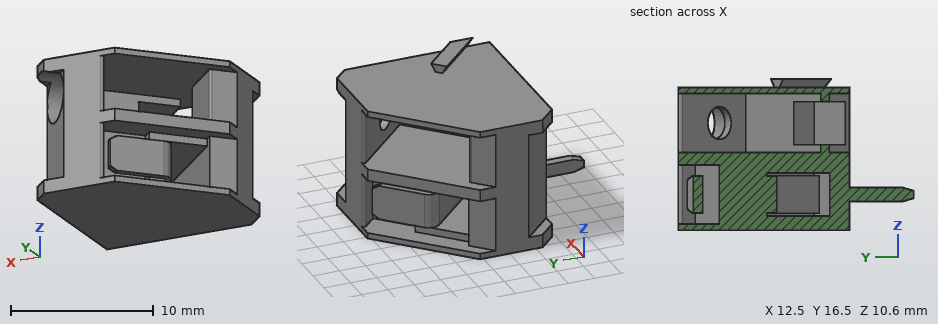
import cadquery as cq
import math

WIDTH = 12.5
DEPTH = 12.0
HEIGHT = 10.0
ENTRY_CUT = 6.0
FRONT_CHAMFER = 1.25
BACK_CHAMFER = 0.99

FRONT_RECESS_LEG = 2.3
BACK_RECESS_LEG = 2.52
RECESS_MARGIN = 0.99

PITCH = 5.0
CHAMBER_HEIGHT = 4.11
CHAMBER_START = 1.19
CHAMBER_END = 9.0
CHAMBER_DEPTH = 7.21
MOUTH_DEPTH = 0.84
MOUTH_OVERRUN = 2.48
EDGE_RADIUS = 0.16
LOWER_Z = HEIGHT / 2 - PITCH / 2
UPPER_Z = HEIGHT / 2 + PITCH / 2

CONTACT_STEP = 5.46
CONTACT_FRONT_DEPTH = 1.4
CONTACT_REAR_DEPTH = 2.21
SLOT_HEIGHT = 3.0
SLOT_END = 4.27
SLOT_DEPTH = 9.24

STRIP_HEIGHT = 2.6
STRIP_THICKNESS = 0.5
STRIP_TIP = 8.5
STRIP_BEND_RADIUS = 0.8
TIP_CHAMFER_LENGTH = 0.5
TIP_CHAMFER_HEIGHT = 0.3

WINDOW_LEFT = 4.14

SCREW_HOLE_DIAMETER = 2.3
SCREW_HEAD_DIAMETER = 3.6
SCREW_DEPTH = 4.6
SCREW_SEAT = 0.61

RAIL_HEIGHT = 0.6
RAIL_TOP_WIDTH = 1.2
RAIL_FLARE = RAIL_HEIGHT * math.tan(math.radians(30))
RAIL_POSITION = 6.1
RAIL_START_DEPTH = 7.4

TOTAL_LENGTH = 16.5
PIN_LENGTH = TOTAL_LENGTH - DEPTH
PIN_X = 6.52
PIN_WIDTH = 0.7
PIN_HEIGHT = 0.99
PIN_TAPER_LENGTH = 0.8
PIN_TAPER_RISE = 0.23


def entry_plane(z):
    """Horizontal plane with local x along the entry face and local y out of it."""
    return cq.Plane(origin=(0, DEPTH - ENTRY_CUT, z), xDir=(1, 1, 0), normal=(0, 0, 1))


def entry_prism(points, z_center, height):
    """Prism over (position, depth) points measured from the entry face."""
    outline = [(position, -depth) for position, depth in points]
    return cq.Workplane(entry_plane(z_center)).polyline(outline).close().extrude(height / 2, both=True)


def entry_box(start, end, near, far, z_center, height):
    corners = [(start, near), (end, near), (end, far), (start, far)]
    return entry_prism(corners, z_center, height)


def corner_recess(x, y, leg):
    """Three-cornered cut at an upright corner; a negative leg points toward -X and -Y."""
    return (
        cq.Workplane("XY", origin=(x, y, RECESS_MARGIN))
        .polyline([(0, 0), (leg, 0), (0, leg)])
        .close()
        .extrude(HEIGHT - 2 * RECESS_MARGIN)
    )


def housing():
    outline = [
        (FRONT_CHAMFER, 0),
        (WIDTH, 0),
        (WIDTH, DEPTH - BACK_CHAMFER),
        (WIDTH - BACK_CHAMFER, DEPTH),
        (ENTRY_CUT, DEPTH),
        (0, DEPTH - ENTRY_CUT),
        (0, FRONT_CHAMFER),
    ]
    block = cq.Workplane("XY").polyline(outline).close().extrude(HEIGHT)
    front_recess = corner_recess(0, 0, FRONT_RECESS_LEG)
    back_recess = corner_recess(WIDTH, DEPTH, -BACK_RECESS_LEG)
    return block.cut(front_recess).cut(back_recess)


def chamber(z_center, floor):
    """Cavity with a wide mouth; floor lists (position, depth) points from start to end."""
    outline = [
        (-MOUTH_OVERRUN, -MOUTH_OVERRUN),
        (-MOUTH_OVERRUN, MOUTH_DEPTH),
        (CHAMBER_START, MOUTH_DEPTH),
        *floor,
        (CHAMBER_END, -MOUTH_OVERRUN),
    ]
    return entry_prism(outline, z_center, CHAMBER_HEIGHT)


def slot(z_center):
    return entry_box(CHAMBER_START, SLOT_END, MOUTH_DEPTH, SLOT_DEPTH, z_center, SLOT_HEIGHT)


def upper_cavity():
    floor = [(CHAMBER_START, CHAMBER_DEPTH), (CHAMBER_END, CHAMBER_DEPTH)]
    return chamber(UPPER_Z, floor).union(slot(UPPER_Z))


def lower_cavity():
    floor = [
        (CHAMBER_START, CONTACT_FRONT_DEPTH),
        (CONTACT_STEP, CONTACT_FRONT_DEPTH),
        (CONTACT_STEP, CONTACT_REAR_DEPTH),
        (CHAMBER_END, CONTACT_REAR_DEPTH),
    ]
    return chamber(LOWER_Z, floor).union(slot(LOWER_Z))


def round_upright_edge(body, point):
    edge = cq.selectors.NearestToPointSelector(point)
    return body.edges("|Z").edges(edge).fillet(EDGE_RADIUS)


def round_chamber_edges(body):
    """Round the back end of both chambers and the inner edge of the upper mouth."""
    back_edge_x = CHAMBER_END * math.sqrt(2) - ENTRY_CUT
    for z in (LOWER_Z, UPPER_Z):
        body = round_upright_edge(body, (back_edge_x, DEPTH, z))
    mouth_edge = entry_plane(UPPER_Z).toWorldCoords((CHAMBER_START, -MOUTH_DEPTH, 0))
    return round_upright_edge(body, mouth_edge.toTuple())


def front_window():
    """Three-cornered opening joining the front face to the upper chamber."""
    right = DEPTH - ENTRY_CUT + CHAMBER_START * math.sqrt(2)
    return (
        cq.Workplane("XY", origin=(0, 0, UPPER_Z))
        .polyline([(WINDOW_LEFT, 0), (right, 0), (WINDOW_LEFT, right - WINDOW_LEFT)])
        .close()
        .extrude(CHAMBER_HEIGHT / 2, both=True)
    )


def screw_passage():
    """Stepped bore from the upper chamber's end wall out into the back right recess."""
    start = entry_plane(UPPER_Z).toWorldCoords((CHAMBER_END, -SCREW_DEPTH, 0))
    wall = cq.Workplane(cq.Plane(origin=start, xDir=(0, 0, 1), normal=(1, 1, 0)))
    hole = wall.circle(SCREW_HOLE_DIAMETER / 2).extrude(SCREW_SEAT)
    head = wall.workplane(offset=SCREW_SEAT).circle(SCREW_HEAD_DIAMETER / 2).extrude(WIDTH / 2)
    return hole.union(head)


def clamp_strip():
    outer_depth = CONTACT_FRONT_DEPTH - STRIP_THICKNESS
    leg_position = SLOT_END - STRIP_THICKNESS
    tongue = entry_box(leg_position, STRIP_TIP, outer_depth, CONTACT_FRONT_DEPTH, LOWER_Z, STRIP_HEIGHT)
    leg = entry_box(leg_position, SLOT_END, outer_depth, SLOT_DEPTH, LOWER_Z, STRIP_HEIGHT)
    bend = cq.selectors.NearestToPointSelector(
        entry_plane(LOWER_Z).toWorldCoords((leg_position, -outer_depth, 0)).toTuple()
    )
    strip = tongue.union(leg).edges("|Z").edges(bend).fillet(STRIP_BEND_RADIUS)

    half = STRIP_HEIGHT / 2
    entry_face = cq.Plane(origin=entry_plane(LOWER_Z).origin, xDir=(1, 1, 0), normal=(1, -1, 0))
    for side in (-1, 1):
        tip_corner = [
            (STRIP_TIP, side * half),
            (STRIP_TIP - TIP_CHAMFER_LENGTH, side * half),
            (STRIP_TIP, side * (half - TIP_CHAMFER_HEIGHT)),
        ]
        strip = strip.cut(cq.Workplane(entry_face).polyline(tip_corner).close().extrude(CONTACT_FRONT_DEPTH))
    return strip


def rail():
    half_top = RAIL_TOP_WIDTH / 2
    half_base = half_top - RAIL_FLARE
    start = entry_plane(HEIGHT).toWorldCoords((RAIL_POSITION, -RAIL_START_DEPTH, 0))
    bar = (
        cq.Workplane(cq.Plane(origin=start, xDir=(1, 1, 0), normal=(1, -1, 0)))
        .polyline([(-half_base, 0), (half_base, 0), (half_top, RAIL_HEIGHT), (-half_top, RAIL_HEIGHT)])
        .close()
        .extrude(WIDTH / 2)
    )
    limits = cq.Workplane("XY").box(WIDTH, DEPTH, HEIGHT + RAIL_HEIGHT, centered=False)
    return bar.intersect(limits)


def pin():
    half = PIN_HEIGHT / 2
    tip_half = half - PIN_TAPER_RISE
    taper_y = PIN_TAPER_LENGTH - PIN_LENGTH
    profile = [
        (0, -half),
        (taper_y, -half),
        (-PIN_LENGTH, -tip_half),
        (-PIN_LENGTH, tip_half),
        (taper_y, half),
        (0, half),
    ]
    return (
        cq.Workplane("YZ", origin=(PIN_X, 0, LOWER_Z))
        .polyline(profile)
        .close()
        .extrude(PIN_WIDTH / 2, both=True)
    )


body = housing().cut(upper_cavity()).cut(lower_cavity())
body = round_chamber_edges(body)
body = body.cut(front_window()).cut(screw_passage())
result = body.union(clamp_strip()).union(rail()).union(pin())